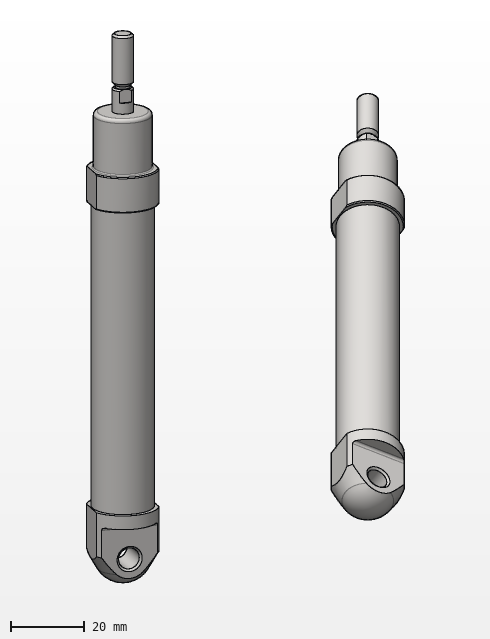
import cadquery as cq
import math

total_height = 156.0
nose_top = 133.8
collar_top = 118.0
collar_bottom = 107.8
rear_cap_top = 21.7
tongue_root = 17.8

nose_diameter = 16.0
nose_rounding = 1.1
nose_root_fillet = 0.3
tube_diameter = 17.3
cap_diameter = 20.0
cap_across_flats = 18.0
collar_chamfer = 0.3

tongue_thickness = 11.9
tongue_root_fillet = 0.8
tip_radius = 8.1
cone_angle = math.radians(60)
pivot_height = 8.1
pivot_diameter = 6.0
pivot_chamfer = 0.6

rod_diameter = 6.0
rod_end_chamfer = 0.6
neck_diameter = 4.0
thread_bottom = 141.3
shank_top = 140.7
shank_chamfer = 0.5
thread_chamfer = (rod_diameter - neck_diameter) / 2
wrench_across_flats = 4.8
wrench_flat_bottom = 137.0


def cylinder(diameter, bottom, top):
    """Upright cylinder on the Z axis between two heights."""
    return cq.Workplane("XY").workplane(offset=bottom).circle(diameter / 2).extrude(top - bottom)


def flat_sided(body):
    """Trim a round body to the two flats that face -Y and +Y."""
    return body.intersect(cq.Workplane("XY").box(cap_diameter, cap_across_flats, 2 * total_height))


def make_collar():
    """Collar with its round rims chamfered before the flats are cut."""
    blank = cylinder(cap_diameter, collar_bottom, collar_top)
    return flat_sided(blank.faces("<Z or >Z").chamfer(collar_chamfer))


def make_rear_cap():
    cap_radius = cap_diameter / 2
    tangent_radius = tip_radius * math.sin(cone_angle)
    tangent_height = tip_radius * (1 - math.cos(cone_angle))
    cone_top = tangent_height + (cap_radius - tangent_radius) * math.tan(cone_angle)
    arc_middle = (
        tip_radius * math.sin(cone_angle / 2),
        tip_radius * (1 - math.cos(cone_angle / 2)),
    )
    blank = (
        cq.Workplane("XZ")
        .moveTo(0, 0)
        .threePointArc(arc_middle, (tangent_radius, tangent_height))
        .lineTo(cap_radius, cone_top)
        .lineTo(cap_radius, rear_cap_top)
        .lineTo(0, rear_cap_top)
        .close()
        .revolve(360, (0, 0, 0), (0, 1, 0))
    )
    cap = flat_sided(blank)

    side_center = (tongue_thickness + cap_diameter) / 2
    for side in (-1, 1):
        side_cut = (
            cq.Workplane("XY")
            .box(cap_diameter, 2 * cap_diameter, tongue_root, centered=(True, True, False))
            .translate((side * side_center, 0, 0))
            .edges("|Y and >Z")
            .edges(">X" if side < 0 else "<X")
            .fillet(tongue_root_fillet)
        )
        cap = cap.cut(side_cut)

    pivot = (
        cq.Workplane("YZ")
        .center(0, pivot_height)
        .circle(pivot_diameter / 2)
        .extrude(tongue_thickness / 2, both=True)
    )
    for side in (-1, 1):
        countersink = cq.Solid.makeCone(
            pivot_diameter / 2 + pivot_chamfer,
            pivot_diameter / 2,
            pivot_chamfer,
            cq.Vector(side * tongue_thickness / 2, 0, pivot_height),
            cq.Vector(-side, 0, 0),
        )
        pivot = pivot.union(cq.Workplane(countersink))
    return cap.cut(pivot)


def make_nose_root():
    """Nose base whose rim flares out in a concave fillet onto the collar."""
    nose_radius = nose_diameter / 2
    fillet_top = collar_top + nose_root_fillet
    arc_gap = nose_root_fillet * (1 - math.sqrt(0.5))
    return (
        cq.Workplane("XZ")
        .moveTo(0, collar_top)
        .lineTo(nose_radius + nose_root_fillet, collar_top)
        .threePointArc((nose_radius + arc_gap, collar_top + arc_gap), (nose_radius, fillet_top))
        .lineTo(0, fillet_top)
        .close()
        .revolve(360, (0, 0, 0), (0, 1, 0))
    )


def make_housing():
    nose = cylinder(nose_diameter, collar_top, nose_top).faces(">Z").edges().fillet(nose_rounding)
    tube = cylinder(tube_diameter, rear_cap_top, collar_bottom)
    return make_rear_cap().union(tube).union(make_collar()).union(nose).union(make_nose_root())


def make_rod():
    """Rod standing on the nose, with wrench flats below a necked threaded end."""
    shank = cylinder(rod_diameter, nose_top, shank_top).faces(">Z").chamfer(shank_chamfer)
    flats_height = shank_top - wrench_flat_bottom
    flat_center = (wrench_across_flats + rod_diameter) / 2
    for side in (-1, 1):
        flat_cut = cq.Workplane("XY").box(rod_diameter, 2 * rod_diameter, flats_height)
        shank = shank.cut(
            flat_cut.translate((side * flat_center, 0, wrench_flat_bottom + flats_height / 2))
        )
    neck = cylinder(neck_diameter, shank_top, thread_bottom)
    threaded_end = (
        cylinder(rod_diameter, thread_bottom, total_height)
        .faces(">Z")
        .chamfer(rod_end_chamfer)
        .faces("<Z")
        .chamfer(thread_chamfer)
    )
    return shank.union(neck).union(threaded_end)


housing = make_housing()
rod = make_rod()

result = cq.Compound.makeCompound([housing.val(), rod.val()])